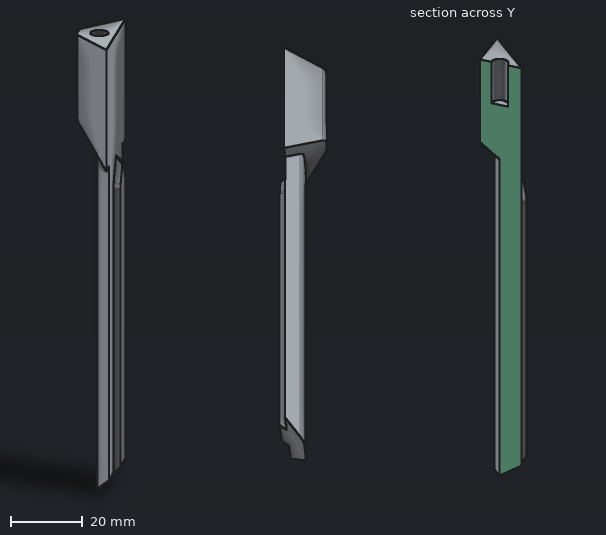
import cadquery as cq
import math

TOTAL_HEIGHT = 133.5
HEAD_LEG = 18.7
HEAD_BASE_Z = 97.6

HEAD_CHAMFER = 3.3
HEAD_ROUNDING = 3.1

SHAFT_INSET = 2.8
SHAFT_CHAMFER = 6.3
SHAFT_ROUNDING = 3.3

HOLE_DIAMETER = 5.0
HOLE_DEPTH = 13.4
HOLE_CENTRE = -3.3

RAIL_WIDTH = 7.2
RAIL_DEPTH = 2.0
RAIL_NOSE_LENGTH = 7.7
RAIL_SHOULDER_ROUNDING = 3.3

ROOT_2 = math.sqrt(2)
OUT = (1, 1, 0)
ALONG = (1, -1, 0)
REACH = HEAD_LEG

SHAFT_CORNER_SETBACK = (HEAD_LEG - 2 * SHAFT_INSET - SHAFT_CHAMFER) / ROOT_2


def corner_prism(half_leg, chamfer, rounding, bottom, top):
    """Upright right-triangle prism with its square corner chamfered and rounded."""
    blunt = chamfer - half_leg
    behind_face = (blunt - half_leg) / 2
    return (
        cq.Workplane("XY", origin=(0, 0, bottom))
        .moveTo(half_leg, -half_leg)
        .lineTo(-half_leg, half_leg)
        .lineTo(-half_leg, blunt)
        .lineTo(blunt, -half_leg)
        .close()
        .extrude(top - bottom)
        .edges("|Z")
        .filter(lambda edge: edge.Center().x + edge.Center().y < behind_face)
        .fillet(rounding)
    )


def side_prism(points):
    """Extrude an (out, up) outline through the whole width of the part."""
    profile_plane = cq.Plane(origin=(0, 0, 0), xDir=OUT, normal=ALONG)
    return cq.Workplane(profile_plane).polyline(points).close().extrude(REACH, both=True)


def above_head_slope():
    """Space above the 45 degree underside of the head, which falls towards the diagonal face."""
    return side_prism([
        (-REACH, HEAD_BASE_Z + REACH),
        (REACH, HEAD_BASE_Z - REACH),
        (REACH, TOTAL_HEIGHT),
        (-REACH, TOTAL_HEIGHT),
    ])


def below_end_cut():
    """Space below the 45 degree cut at the foot, which rises towards the diagonal face."""
    return side_prism([
        (-REACH, SHAFT_CORNER_SETBACK - REACH),
        (REACH, SHAFT_CORNER_SETBACK + REACH),
        (REACH, -REACH),
    ])


def make_head():
    head = corner_prism(HEAD_LEG / 2, HEAD_CHAMFER, HEAD_ROUNDING, HEAD_BASE_Z, TOTAL_HEIGHT)
    hole = (
        cq.Workplane("XY", origin=(HOLE_CENTRE, HOLE_CENTRE, TOTAL_HEIGHT))
        .circle(HOLE_DIAMETER / 2)
        .extrude(-HOLE_DEPTH)
    )
    return head.intersect(above_head_slope()).cut(hole)


def make_shaft():
    half_leg = HEAD_LEG / 2 - SHAFT_INSET
    top = HEAD_BASE_Z + SHAFT_CORNER_SETBACK
    shaft = corner_prism(half_leg, SHAFT_CHAMFER, SHAFT_ROUNDING, 0, top)
    return shaft.cut(above_head_slope()).cut(below_end_cut())


def make_rail():
    """Rail with a pointed nose; its tip and foot follow the two 45 degree planes."""
    half_width = RAIL_WIDTH / 2
    shoulder_z = HEAD_BASE_Z - RAIL_NOSE_LENGTH
    nose_middle_z = HEAD_BASE_Z - RAIL_NOSE_LENGTH / 2
    face_plane = cq.Plane(origin=(0, 0, 0), xDir=(-1, 1, 0), normal=OUT)
    rail = (
        cq.Workplane(face_plane)
        .moveTo(-half_width, 0)
        .lineTo(half_width, 0)
        .lineTo(half_width, shoulder_z)
        .lineTo(0, HEAD_BASE_Z)
        .lineTo(-half_width, shoulder_z)
        .close()
        .extrude(RAIL_DEPTH)
        .edges("|(1,1,0)")
        .filter(lambda edge: shoulder_z / 2 < edge.Center().z < nose_middle_z)
        .fillet(RAIL_SHOULDER_ROUNDING)
    )
    return rail.cut(above_head_slope()).cut(below_end_cut())


result = make_head().union(make_shaft()).union(make_rail())